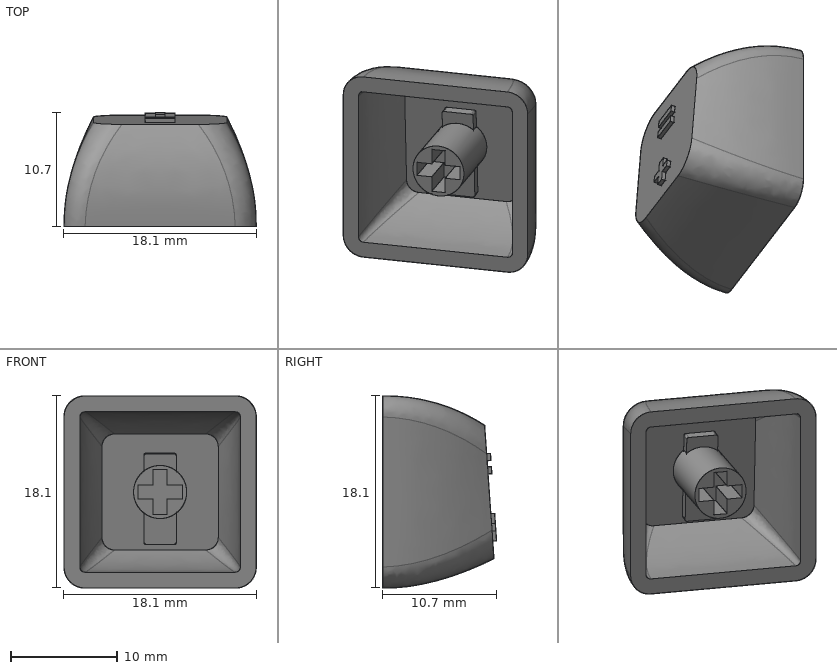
import cadquery as cq
import math

BASE_WIDTH = 18.1
BASE_CORNER = 2.0
MIDDLE_WIDTH = 16.75
MIDDLE_CORNER = 2.25
TOP_WIDTH = 12.56
TOP_CORNER = 2.68
TOP_HEIGHT = 10.05
MIDDLE_HEIGHT = TOP_HEIGHT / 2
TOP_TILT = 4.0
WALL = 1.5

CAVITY_MIDDLE_HEIGHT = (TOP_HEIGHT - WALL) / 2
CAVITY_MIDDLE_WIDTH = 14.08
CAVITY_MIDDLE_CORNER = 0.72
FLOOR_WIDTH = 10.93

STEM_DIAMETER = 5.0
STEM_RECESS = 1.0
CROSS_SPAN = 4.2
CROSS_ARM_WIDTH = 1.3
CROSS_DEPTH = 3.98

PLATE_WIDTH = 3.04
PLATE_LENGTH = 8.55
PLATE_CENTRE = -0.62
PLATE_THICKNESS = 1.0
PLATE_CORNER = 0.18
LEGEND_RAISE = 0.36
BAR_LENGTH = 2.82
BAR_WIDTH = 0.69
EQUALS_CENTRE = 2.55
EQUALS_PITCH = 1.25
PLUS_CENTRE = -3.44
PLUS_STROKE = 0.89
PLUS_HEIGHT = 2.6

tilt = math.radians(TOP_TILT)
TOP_NORMAL = cq.Vector(0, math.cos(tilt), math.sin(tilt))


def base_plane(height):
    """Plane parallel to the open rim, facing +Y, with local y along Z."""
    return cq.Plane(origin=(0, height, 0), xDir=(-1, 0, 0), normal=(0, 1, 0))


def top_plane(depth):
    """Plane parallel to the tilted top face, moved back by depth along Y."""
    return cq.Plane(origin=(0, TOP_HEIGHT - depth, 0), xDir=(-1, 0, 0), normal=TOP_NORMAL)


def rounded_square(plane, width, corner):
    return cq.Sketch().rect(width, width).vertices().fillet(corner).moved(plane.location)


def make_shell():
    outside = cq.Workplane().placeSketch(
        rounded_square(base_plane(0), BASE_WIDTH, BASE_CORNER),
        rounded_square(base_plane(MIDDLE_HEIGHT), MIDDLE_WIDTH, MIDDLE_CORNER),
        rounded_square(top_plane(0), TOP_WIDTH, TOP_CORNER),
    ).loft()
    cavity = cq.Workplane().placeSketch(
        rounded_square(base_plane(0), BASE_WIDTH - 2 * WALL, BASE_CORNER - WALL),
        rounded_square(base_plane(CAVITY_MIDDLE_HEIGHT), CAVITY_MIDDLE_WIDTH, CAVITY_MIDDLE_CORNER),
        rounded_square(top_plane(WALL), FLOOR_WIDTH, TOP_CORNER - WALL),
    ).loft()
    return outside.cut(cavity)


def make_stem():
    post = cq.Workplane(base_plane(STEM_RECESS)).circle(STEM_DIAMETER / 2).extrude(TOP_HEIGHT)
    beyond = cq.Workplane(top_plane(WALL)).rect(BASE_WIDTH, BASE_WIDTH).extrude(BASE_WIDTH)
    cross = (
        cq.Workplane(base_plane(STEM_RECESS))
        .rect(CROSS_SPAN, CROSS_ARM_WIDTH)
        .extrude(CROSS_DEPTH)
        .union(cq.Workplane(base_plane(STEM_RECESS)).rect(CROSS_ARM_WIDTH, CROSS_SPAN).extrude(CROSS_DEPTH))
    )
    return post.cut(beyond).cut(cross)


def make_legend():
    legend = (
        cq.Workplane(top_plane(WALL))
        .center(0, PLATE_CENTRE)
        .rect(PLATE_WIDTH, PLATE_LENGTH)
        .extrude(-PLATE_THICKNESS)
        .edges(cq.selectors.ParallelDirSelector(TOP_NORMAL))
        .fillet(PLATE_CORNER)
    )
    strokes = [
        (EQUALS_CENTRE + EQUALS_PITCH / 2, BAR_LENGTH, BAR_WIDTH),
        (EQUALS_CENTRE - EQUALS_PITCH / 2, BAR_LENGTH, BAR_WIDTH),
        (PLUS_CENTRE, BAR_LENGTH, BAR_WIDTH),
        (PLUS_CENTRE, PLUS_STROKE, PLUS_HEIGHT),
    ]
    stroke_height = WALL * math.cos(tilt) + LEGEND_RAISE
    for centre, width, height in strokes:
        stroke = (
            cq.Workplane(top_plane(WALL))
            .center(0, centre)
            .rect(width, height)
            .extrude(stroke_height)
        )
        legend = legend.union(stroke)
    return legend


legend = make_legend()
keycap = make_shell().union(make_stem()).cut(legend)

result = cq.Compound.makeCompound([keycap.val(), legend.val()])